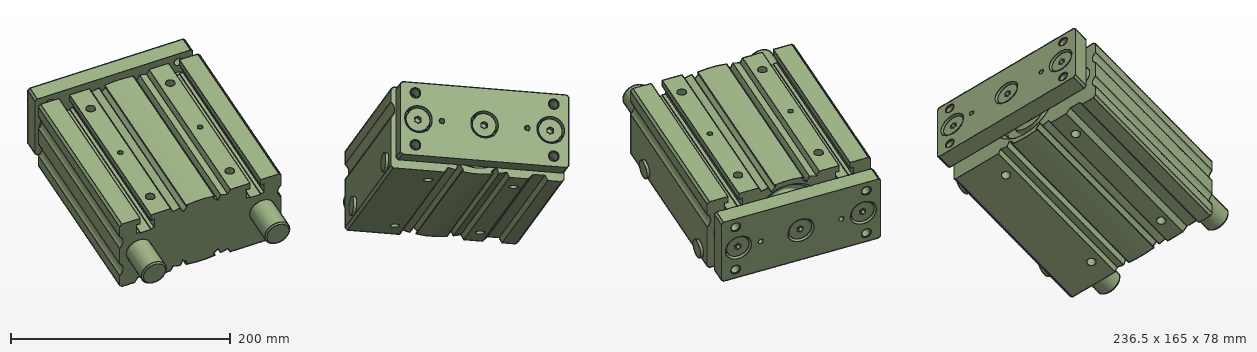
import cadquery as cq
import math


PLATE_THICKNESS = 16.0
PLATE_GAP = 11.4
HOUSING_LENGTH = 175.0
TOTAL_LENGTH = 236.5
HOUSING_FRONT = PLATE_THICKNESS + PLATE_GAP

HOUSING_WIDTH = 162.2
HOUSING_HEIGHT = 78.0
HALF_WIDTH = HOUSING_WIDTH / 2
HALF_HEIGHT = HOUSING_HEIGHT / 2
HOUSING_CHAMFER = 2.4

STRIP_HALF_WIDTH = 30.0
STRIP_FLOOR_HALF_WIDTH = 27.5
CROWN_HEIGHT = 38.3
CROWN_RADIUS = 94.5

SENSOR_INNER_Y = 14.5
SENSOR_OUTER_Y = 20.3
SENSOR_FLOOR_INNER_Z = 33.3
SENSOR_FLOOR_OUTER_Y = 17.7
SENSOR_FLOOR_OUTER_Z = 30.3
SENSOR_LIP_Z = 36.2
SENSOR_UNDERCUT = 1.5
SENSOR_UNDERCUT_RISE = 0.5
SENSOR_BEVEL_Y = 19.5
SENSOR_BEVEL_Z = 34.5

T_SLOT_Y = 55.0
T_SLOT_OPENING = 10.9
T_SLOT_WIDTH = 17.7
T_SLOT_NECK_DEPTH = 6.9
T_SLOT_DEPTH = 17.3
T_SLOT_RELIEF_DEPTH = 1.0

BOTTOM_GROOVE_DEPTH = 4.7
BOTTOM_GROOVE_INNER_Y = -47.5
BOTTOM_GROOVE_OUTER_Y = -66.0
BOTTOM_GROOVE_INNER_RUN = 4.7
BOTTOM_GROOVE_OUTER_RUN = 2.8

SCOOP_Z = 17.0
SCOOP_HEIGHT = 14.7
SCOOP_DEPTH = 3.5

MOUNT_HOLE_Y = 40.0
MOUNT_HOLE_SPACING = 128.2
MOUNT_HOLE_DIAMETER = 8.5
MOUNT_CENTRE_X = HOUSING_FRONT + 88.5
DOWEL_DIAMETER = 5.0
DOWEL_DEPTH = 7.0

BOSS_DIAMETER = 17.5
BOSS_HEIGHT = 2.8
BOSS_Z = -28.1
BOSS_FIRST_X = HOUSING_FRONT + 17.0
BOSS_SPACING = 122.5

PLATE_WIDTH = 158.0
PLATE_HEIGHT = 70.0
PLATE_CHAMFER = 2.1
PLATE_HOLE_SPACING_Y = 129.5
PLATE_HOLE_SPACING_Z = 50.1
PLATE_HOLE_DIAMETER = 8.5
PLATE_HOLE_CHAMFER = 0.7
COUNTERSINK_ANGLE = 90
COUNTERBORE_DIAMETER = 25.8
COUNTERBORE_DEPTH = 9.5

GUIDE_DIAMETER = 25.0
GUIDE_Y = 62.0
GUIDE_END_CHAMFER = 1.5
PISTON_ROD_DIAMETER = 20.0
PISTON_ROD_END = HOUSING_FRONT + 142.0
HEAD_DIAMETER = 22.2
HEAD_RECESS = 1.7
SHANK_DIAMETER = 11.8
HEX_ACROSS_FLATS = 6.0
HEX_DEPTH = 4.7

COVER_DIAMETER = 65.3
COVER_RECESS = 5.2
COVER_THICKNESS = 14.2
COVER_FRONT = HOUSING_FRONT + COVER_RECESS
COVER_BACK = COVER_FRONT + COVER_THICKNESS
COVER_RING_INNER_DIAMETER = 55.8
COVER_HUB_DIAMETER = 36.0
COVER_DISH_DEPTH = 6.0
COVER_FILLET = 1.5


def cylinder_x(diameter, x_start, x_end, y=0.0):
    """Cylinder along X, at mid height."""
    return cq.Workplane("YZ", origin=(x_start, y, 0)).circle(diameter / 2).extrude(x_end - x_start)


def along_housing(outline):
    """Extrude a closed YZ outline over the whole housing length."""
    return outline.close().extrude(HOUSING_LENGTH)


def section():
    """Sketch plane across the front end of the housing."""
    return cq.Workplane("YZ", origin=(HOUSING_FRONT, 0, 0))


def crown_z(y):
    """Height of the crowned strip floor at a given Y."""
    return CROWN_HEIGHT - CROWN_RADIUS + math.sqrt(CROWN_RADIUS**2 - y**2)


def middle_strip_cut():
    """Upper middle strip, down to its crowned floor."""
    floor_edge_z = crown_z(STRIP_FLOOR_HALF_WIDTH)
    return along_housing(
        section()
        .moveTo(-STRIP_HALF_WIDTH, HALF_HEIGHT)
        .lineTo(-STRIP_FLOOR_HALF_WIDTH, floor_edge_z)
        .threePointArc((0, CROWN_HEIGHT), (STRIP_FLOOR_HALF_WIDTH, floor_edge_z))
        .lineTo(STRIP_HALF_WIDTH, HALF_HEIGHT)
    )


def sensor_groove_cut():
    """Upper sensor groove on the +Y side, with a sloped floor and an undercut inner side."""
    undercut_y = SENSOR_INNER_Y - SENSOR_UNDERCUT
    return along_housing(
        section()
        .moveTo(SENSOR_INNER_Y, HALF_HEIGHT)
        .lineTo(SENSOR_INNER_Y, SENSOR_LIP_Z)
        .lineTo(undercut_y, SENSOR_LIP_Z - SENSOR_UNDERCUT_RISE)
        .lineTo(SENSOR_INNER_Y, SENSOR_FLOOR_INNER_Z)
        .lineTo(SENSOR_FLOOR_OUTER_Y, SENSOR_FLOOR_OUTER_Z)
        .lineTo(SENSOR_BEVEL_Y, SENSOR_BEVEL_Z)
        .lineTo(SENSOR_OUTER_Y, crown_z(SENSOR_OUTER_Y))
        .lineTo(SENSOR_OUTER_Y, HALF_HEIGHT)
    )


def t_slot_layer(y, width, top_depth, bottom_depth):
    """Lengthwise channel between two depths below the top face."""
    height = bottom_depth - top_depth
    layer = cq.Workplane("XY").box(HOUSING_LENGTH, width, height, centered=(False, True, False))
    return layer.translate((HOUSING_FRONT, y, HALF_HEIGHT - bottom_depth))


def t_slot_cut(y):
    """T-slot with a shallow relief along the middle of its floor."""
    neck = t_slot_layer(y, T_SLOT_OPENING, 0, T_SLOT_NECK_DEPTH)
    wide = t_slot_layer(y, T_SLOT_WIDTH, T_SLOT_NECK_DEPTH, T_SLOT_DEPTH)
    relief = t_slot_layer(y, T_SLOT_OPENING, T_SLOT_DEPTH, T_SLOT_DEPTH + T_SLOT_RELIEF_DEPTH)
    return neck.union(wide).union(relief)


def bottom_groove_cut():
    floor_z = BOTTOM_GROOVE_DEPTH - HALF_HEIGHT
    return along_housing(
        section()
        .moveTo(BOTTOM_GROOVE_INNER_Y, -HALF_HEIGHT)
        .lineTo(BOTTOM_GROOVE_INNER_Y - BOTTOM_GROOVE_INNER_RUN, floor_z)
        .lineTo(BOTTOM_GROOVE_OUTER_Y + BOTTOM_GROOVE_OUTER_RUN, floor_z)
        .lineTo(BOTTOM_GROOVE_OUTER_Y, -HALF_HEIGHT)
    )


def side_scoop_cut(side, z):
    """Round scoop along the +Y (side = 1) or -Y (side = -1) face."""
    radius = (SCOOP_HEIGHT**2 / 4 + SCOOP_DEPTH**2) / (2 * SCOOP_DEPTH)
    centre_y = side * (HALF_WIDTH - SCOOP_DEPTH + radius)
    return section().center(centre_y, z).circle(radius).extrude(HOUSING_LENGTH)


def make_profile():
    """Extruded housing profile with all its lengthwise grooves."""
    body = section().rect(HOUSING_WIDTH, HOUSING_HEIGHT).extrude(HOUSING_LENGTH)
    body = body.edges("|X").chamfer(HOUSING_CHAMFER)
    for cut in (middle_strip_cut(), sensor_groove_cut(), sensor_groove_cut().mirror("XZ")):
        body = body.cut(cut).cut(cut.mirror("XY"))
    for side in (1, -1):
        body = body.cut(t_slot_cut(side * T_SLOT_Y))
        body = body.cut(side_scoop_cut(side, SCOOP_Z))
    body = body.cut(side_scoop_cut(-1, -SCOOP_Z))
    return body.cut(bottom_groove_cut())


def top_hole(x, y, diameter, depth):
    hole = cq.Workplane("XY", origin=(x, y, HALF_HEIGHT)).circle(diameter / 2)
    return hole.extrude(-depth)


def port_boss(x):
    return (
        cq.Workplane("XZ", origin=(x, HALF_WIDTH, BOSS_Z))
        .circle(BOSS_DIAMETER / 2)
        .extrude(-BOSS_HEIGHT)
    )


def make_housing():
    body = make_profile()
    for side in (1, -1):
        y = side * MOUNT_HOLE_Y
        for end in (1, -1):
            x = MOUNT_CENTRE_X + end * MOUNT_HOLE_SPACING / 2
            body = body.cut(top_hole(x, y, MOUNT_HOLE_DIAMETER, HOUSING_HEIGHT))
        body = body.cut(top_hole(MOUNT_CENTRE_X, y, DOWEL_DIAMETER, DOWEL_DEPTH))
        guide_bore = cylinder_x(GUIDE_DIAMETER, HOUSING_FRONT, TOTAL_LENGTH, side * GUIDE_Y)
        body = body.cut(guide_bore)
    for index in range(2):
        body = body.union(port_boss(BOSS_FIRST_X + index * BOSS_SPACING))
    body = body.cut(cylinder_x(COVER_DIAMETER, HOUSING_FRONT, COVER_BACK))
    return body.cut(cylinder_x(PISTON_ROD_DIAMETER, COVER_BACK, PISTON_ROD_END))


def make_cover():
    """Disc around the piston rod, dished between its outer ring and its hub."""
    floor = COVER_FRONT + COVER_DISH_DEPTH
    cover = cylinder_x(COVER_DIAMETER, COVER_FRONT, COVER_BACK)
    cover = cover.cut(cylinder_x(COVER_RING_INNER_DIAMETER, COVER_FRONT, floor))
    hub = cylinder_x(COVER_HUB_DIAMETER, COVER_FRONT, floor)
    hub_foot = cq.selectors.RadiusNthSelector(0)
    cover = cover.union(hub).faces("<X[1]").edges(hub_foot).fillet(COVER_FILLET)
    return cover.cut(cylinder_x(PISTON_ROD_DIAMETER, COVER_FRONT, COVER_BACK))


def make_plate():
    plate = cq.Workplane("XY").box(PLATE_THICKNESS, PLATE_WIDTH, PLATE_HEIGHT, centered=(False, True, True))
    plate = plate.edges("|X").chamfer(PLATE_CHAMFER)
    front = plate.faces("<X").workplane(origin=(0, 0, 0))
    corners = front.rect(PLATE_HOLE_SPACING_Y, PLATE_HOLE_SPACING_Z, forConstruction=True).vertices()
    plate = corners.cskHole(
        PLATE_HOLE_DIAMETER, PLATE_HOLE_DIAMETER + 2 * PLATE_HOLE_CHAMFER, COUNTERSINK_ANGLE
    )
    front = plate.faces("<X").workplane(origin=(0, 0, 0))
    plate = front.pushPoints([(-MOUNT_HOLE_Y, 0), (MOUNT_HOLE_Y, 0)]).hole(DOWEL_DIAMETER)
    front = plate.faces("<X").workplane(origin=(0, 0, 0))
    return front.pushPoints([(-GUIDE_Y, 0), (0, 0), (GUIDE_Y, 0)]).cboreHole(
        SHANK_DIAMETER, COUNTERBORE_DIAMETER, COUNTERBORE_DEPTH
    )


def make_rod(diameter, x_end, y):
    """Rod with a shank through the tool plate and a socket head in the plate counterbore."""
    rod = cylinder_x(diameter, PLATE_THICKNESS, x_end, y)
    rod = rod.union(cylinder_x(SHANK_DIAMETER, COUNTERBORE_DEPTH, PLATE_THICKNESS, y))
    rod = rod.union(cylinder_x(HEAD_DIAMETER, HEAD_RECESS, COUNTERBORE_DEPTH, y))
    hex_corner_diameter = HEX_ACROSS_FLATS / math.cos(math.pi / 6)
    socket = (
        cq.Workplane("YZ", origin=(HEAD_RECESS, y, 0))
        .transformed(rotate=(0, 0, 90))
        .polygon(6, hex_corner_diameter)
        .extrude(HEX_DEPTH)
    )
    return rod.cut(socket)


housing = make_housing()
cover = make_cover()
plate = make_plate()
piston_rod = make_rod(PISTON_ROD_DIAMETER, PISTON_ROD_END, 0)
guide_rods = []
for side in (1, -1):
    guide_rod = make_rod(GUIDE_DIAMETER, TOTAL_LENGTH, side * GUIDE_Y)
    guide_rods.append(guide_rod.faces(">X").edges().chamfer(GUIDE_END_CHAMFER))

result = cq.Compound.makeCompound(
    [housing.val(), cover.val(), plate.val(), piston_rod.val(), *[rod.val() for rod in guide_rods]]
)